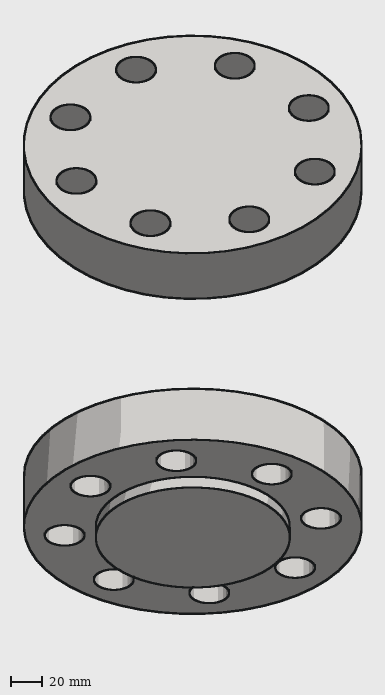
import cadquery as cq

FLANGE_DIAMETER = 215.9
FLANGE_THICKNESS = 38.1
FACE_DIAMETER = 124.0
FACE_HEIGHT = 7.95
BOLT_COUNT = 8
BOLT_CIRCLE_DIAMETER = 165.1
BOLT_HOLE_DIAMETER = 25.4


def flange_disc():
    """Main disc, resting on top of the raised face."""
    disc = cq.Workplane("XY").workplane(offset=FACE_HEIGHT)
    return disc.circle(FLANGE_DIAMETER / 2).extrude(FLANGE_THICKNESS)


def raised_face():
    """Smaller disc below the flange, with its underside at Z = 0."""
    return cq.Workplane("XY").circle(FACE_DIAMETER / 2).extrude(FACE_HEIGHT)


def bolt_holes():
    """Cutters for the through holes, evenly spaced from the +X axis."""
    return (
        cq.Workplane("XY")
        .polarArray(BOLT_CIRCLE_DIAMETER / 2, 0, 360, BOLT_COUNT)
        .circle(BOLT_HOLE_DIAMETER / 2)
        .extrude(FACE_HEIGHT + FLANGE_THICKNESS)
    )


result = flange_disc().union(raised_face()).cut(bolt_holes())